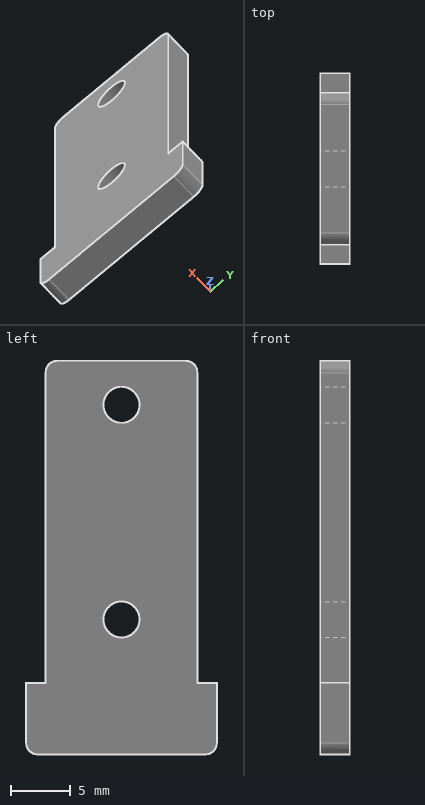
import cadquery as cq

height = 33.0
thickness = 2.5
foot_width = 16.0
foot_height = 6.0
stem_width = 12.75
corner_radius = 1.0
hole_diameter = 3.0
top_hole_drop = 3.7
hole_spacing = 18.0

upper_hole_z = height - top_hole_drop
lower_hole_z = upper_hole_z - hole_spacing


def plate(width, length):
    """Upright plate standing on Z = 0, centred in X and Y."""
    return cq.Workplane("XY").box(thickness, width, length, centered=(True, True, False))


stem = plate(stem_width, height).edges("|X and >Z").fillet(corner_radius)
foot = plate(foot_width, foot_height).edges("|X and <Z").fillet(corner_radius)

holes = (
    cq.Workplane("YZ")
    .pushPoints([(0, upper_hole_z), (0, lower_hole_z)])
    .circle(hole_diameter / 2)
    .extrude(thickness, both=True)
)

result = stem.union(foot).cut(holes)